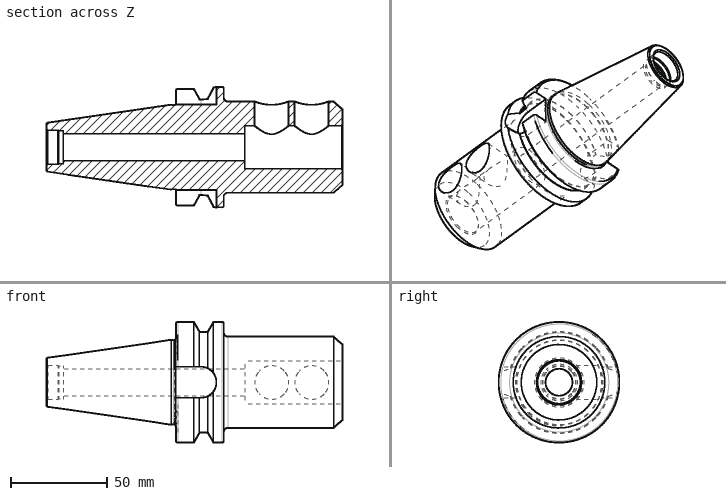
import cadquery as cq
import math

total_length = 154.3

taper_length = 65.0
taper_radius = 22.2
taper_rate = 7 / 24
small_radius = taper_radius - taper_length * taper_rate / 2
small_end_break = 0.6
neck_radius = 21.99
neck_start = 66.0
neck_fillet = 0.8

flange_start = 67.5
flange_end = 92.5
flange_radius = 31.5
flange_fillet = 1.0
groove_center = 82.0
groove_mouth = 10.2
groove_floor_width = 4.5
groove_floor_radius = 26.2
groove_wall_angle = 30
groove_wall_run = (groove_mouth - groove_floor_width) / 2
groove_wall_radius = flange_radius - groove_wall_run / math.tan(math.radians(groove_wall_angle))

nose_radius = 47.7 / 2
nose_fillet = 2.0
nose_chamfer_length = 4.8
nose_chamfer_depth = 4.2

slot_width = 16.2
slot_end = 88.5
slot_floor = 22.4

bore_diameter = 13.9
rear_entry_diameter = 17.6
rear_entry_depth = 6.0
rear_bore_diameter = 17.0
rear_bore_depth = 8.8
rear_step_length = 0.5
rear_mouth_diameter = 19.1
shank_bore_diameter = 22.2
shank_bore_depth = 50.9
shank_mouth_diameter = 23.5

screw_diameter = 17.6
screw_positions = (117.3, 138.1)


def make_body():
    groove_start = groove_center - groove_mouth / 2
    groove_end = groove_center + groove_mouth / 2
    floor_start = groove_center - groove_floor_width / 2
    floor_end = groove_center + groove_floor_width / 2
    diagonal = math.sqrt(0.5)
    corner_radius = flange_radius - flange_fillet * (1 - diagonal)
    corner_shift = flange_fillet * (1 - diagonal)
    profile = (
        cq.Workplane("XY")
        .moveTo(0, 0)
        .lineTo(0, small_radius - small_end_break)
        .lineTo(small_end_break, small_radius + small_end_break * taper_rate / 2)
        .lineTo(taper_length, taper_radius)
        .lineTo(neck_start, neck_radius)
        .lineTo(flange_start - neck_fillet, neck_radius)
        .radiusArc((flange_start, neck_radius + neck_fillet), -neck_fillet)
        .lineTo(flange_start, flange_radius - flange_fillet)
        .threePointArc((flange_start + corner_shift, corner_radius),
                       (flange_start + flange_fillet, flange_radius))
        .lineTo(groove_start, flange_radius)
        .lineTo(floor_start, groove_wall_radius)
        .lineTo(floor_start, groove_floor_radius)
        .lineTo(floor_end, groove_floor_radius)
        .lineTo(floor_end, groove_wall_radius)
        .lineTo(groove_end, flange_radius)
        .lineTo(flange_end - flange_fillet, flange_radius)
        .threePointArc((flange_end - corner_shift, corner_radius),
                       (flange_end, flange_radius - flange_fillet))
        .lineTo(flange_end, nose_radius + nose_fillet)
        .radiusArc((flange_end + nose_fillet, nose_radius), -nose_fillet)
        .lineTo(total_length - nose_chamfer_length, nose_radius)
        .lineTo(total_length, nose_radius - nose_chamfer_depth)
        .lineTo(total_length, 0)
        .close()
    )
    return profile.revolve(360, (0, 0, 0), (1, 0, 0))


def make_bore():
    bore = bore_diameter / 2
    rear = rear_bore_diameter / 2
    rear_entry = rear_entry_diameter / 2
    rear_mouth = rear_mouth_diameter / 2
    shank = shank_bore_diameter / 2
    shank_mouth = shank_mouth_diameter / 2
    shank_start = total_length - shank_bore_depth
    profile = cq.Workplane("XY").polyline([
        (0, 0),
        (0, rear_mouth),
        (rear_mouth - rear_entry, rear_entry),
        (rear_entry_depth, rear_entry),
        (rear_entry_depth + rear_step_length, rear),
        (rear_bore_depth, rear),
        (rear_bore_depth, bore),
        (shank_start, bore),
        (shank_start, shank),
        (total_length - (shank_mouth - shank), shank),
        (total_length, shank_mouth),
        (total_length, 0),
    ]).close()
    return profile.revolve(360, (0, 0, 0), (1, 0, 0))


def make_drive_slot(side):
    """Round-ended slot cutting inward to a flat floor; side is -1 or +1 along Y."""
    end_radius = slot_width / 2
    arc_center = slot_end - end_radius
    outline = (
        cq.Workplane("XZ", origin=(0, side * slot_floor, 0))
        .moveTo(flange_start, -end_radius)
        .lineTo(arc_center, -end_radius)
        .threePointArc((slot_end, 0), (arc_center, end_radius))
        .lineTo(flange_start, end_radius)
        .close()
    )
    return outline.extrude(-side * flange_radius)


def make_screw_hole(position):
    return (
        cq.Workplane("XZ", origin=(position, 0, 0))
        .circle(screw_diameter / 2)
        .extrude(-flange_radius)
    )


result = make_body().cut(make_bore())
for side in (-1, 1):
    result = result.cut(make_drive_slot(side))
for position in screw_positions:
    result = result.cut(make_screw_hole(position))